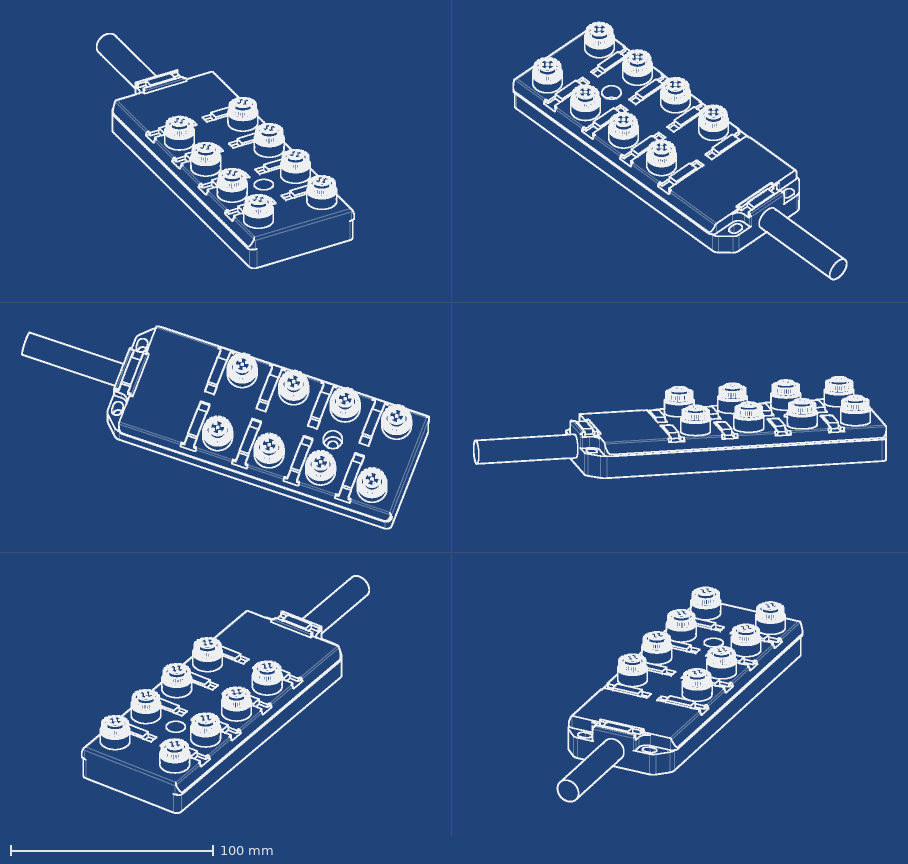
import cadquery as cq
import math

CABLE_LENGTH = 50.3
CABLE_DIAMETER = 11.7
CABLE_AXIS_Z = 9.3

BODY_END_X = 202.0
BODY_START_X = CABLE_LENGTH
BASE_WIDTH = 58.2
BASE_HEIGHT = 11.3
EAR_CHAMFER = 7.5
EAR_CORNER_RADIUS = 4.0
END_CORNER_RADIUS = 2.8
EAR_SLOT_DIAMETER = 5.0
EAR_SLOT_LENGTH = 7.3
EAR_SLOT_X = 54.5

LID_START_X = 58.8
LID_WIDTH = 60.0
LID_TOP_WIDTH = 55.0
LID_TOP_Z = 18.0
LIP_TOP_Z = 12.3
RIM_RADIUS = 1.0
END_RIM_RADIUS = 1.2

GLAND_WIDTH = 23.8
GLAND_TOP_Z = 19.2
GLAND_END_X = 60.4
GLAND_CORNER_RADIUS = 0.8
GLAND_FILLET_RADIUS = 4.2
GLAND_TOP_RADIUS = 1.0
GLAND_MOUTH_DEPTH = 0.8
GLAND_FLOOR_Z = 17.0

LABEL_LENGTH = 14.0
LABEL_WIDTH = 4.8
LABEL_TOP_Z = 19.2
GLAND_LABEL_X = 55.1
GLAND_LABEL_TOP_Z = 19.8
RECESS_FLOOR_Z = 16.2
RECESS_INNER_Y = 2.8
RECESS_MOUTH_WIDTH = 7.9
RECESS_MOUTH_Y = 26.7
LABEL_INNER_Y = 7.7
LABEL_TO_SOCKET = 12.0

SOCKET_PITCH = 27.0
SOCKET_COUNT = 4
FIRST_SOCKET_X = 107.3
SOCKET_ROW_SPACING = 35.8
SOCKET_ROW_Y = SOCKET_ROW_SPACING / 2
SOCKET_DIAMETER = 14.7
SOCKET_SHOULDER_Z = 24.6
SOCKET_SHOULDER_CHAMFER = 0.5
SLEEVE_DIAMETER = 12.1
SLEEVE_TOP_Z = 28.7
SLEEVE_BORE = 11.0
SLEEVE_BORE_CHAMFER = 0.3
KNURL_DIAMETER = 13.3
KNURL_BOTTOM_Z = 25.9
KNURL_TOOTH_COUNT = 18
INSERT_DIAMETER = 8.3
INSERT_TOP_Z = 30.5
INSERT_CHAMFER = 0.6
GAP_FLOOR_Z = 25.5
PIN_HOLE_DIAMETER = 1.1
PIN_HOLE_DEPTH = 4.0
PIN_CIRCLE_DIAMETER = 5.0
OUTER_PIN_COUNT = 4
FIRST_PIN_ANGLE = 45

MOUNT_HOLE_DIAMETER = 5.0
MOUNT_COUNTERBORE_DIAMETER = 9.5
MOUNT_COUNTERBORE_DEPTH = 8.0
MOUNT_SOCKET_INDEX = 2

SOCKET_XS = [FIRST_SOCKET_X + i * SOCKET_PITCH for i in range(SOCKET_COUNT)]
SIDES = (-1, 1)


def block(x_range, y_range, z_range):
    """Axis-aligned box given by its limits along X, Y and Z."""
    x0, x1 = x_range
    y0, y1 = y_range
    z0, z1 = z_range
    return cq.Workplane("XY").box(x1 - x0, y1 - y0, z1 - z0, centered=False).translate((x0, y0, z0))


def cylinder(diameter, z0, z1, x=0.0, y=0.0):
    """Upright round bar from z0 to z1."""
    return cq.Workplane("XY", origin=(x, y, z0)).circle(diameter / 2).extrude(z1 - z0)


def make_base():
    """Base block with rounded, chamfered corners at the cable end."""
    half = BASE_WIDTH / 2
    base = block((BODY_START_X, BODY_END_X), (-half, half), (0, BASE_HEIGHT))
    base = base.edges("|Z and <X").chamfer(EAR_CHAMFER)
    ear_corners = cq.selectors.BoxSelector(
        (BODY_START_X - 2, -half - 2, -2),
        (BODY_START_X + EAR_CHAMFER + 2, half + 2, BASE_HEIGHT + 2),
    )
    base = base.edges("|Z").edges(ear_corners).fillet(EAR_CORNER_RADIUS)
    return base.edges("|Z and >X").fillet(END_CORNER_RADIUS)


def make_lid():
    """Lid with vertical lip, sloping long sides and rounded top rim."""
    half = LID_WIDTH / 2
    top_half = LID_TOP_WIDTH / 2
    blank = block((LID_START_X, BODY_END_X), (-half, half), (BASE_HEIGHT, LID_TOP_Z))
    rounded_corners = blank.edges("|Z").fillet(END_CORNER_RADIUS)
    rounded_end = blank.edges("|Y and >X and >Z").fillet(END_RIM_RADIUS)

    right_side = [(half, BASE_HEIGHT), (half, LIP_TOP_Z), (top_half, LID_TOP_Z)]
    left_side = [(-y, z) for y, z in reversed(right_side)]
    sloped = (
        cq.Workplane("YZ", origin=(LID_START_X, 0, 0))
        .polyline(right_side + left_side)
        .close()
        .extrude(BODY_END_X - LID_START_X)
        .edges("|X and >Z")
        .fillet(RIM_RADIUS)
    )
    return rounded_corners.intersect(rounded_end).intersect(sloped)


def make_gland():
    """Block around the cable entry, overlapping the lid."""
    half = GLAND_WIDTH / 2
    blank = block((BODY_START_X, GLAND_END_X), (-half, half), (BASE_HEIGHT, GLAND_TOP_Z))
    rounded_corners = blank.edges("|Z and <X").fillet(GLAND_CORNER_RADIUS)
    rounded_top = blank.edges("|Y and >Z").fillet(GLAND_TOP_RADIUS)
    gland = rounded_corners.intersect(rounded_top)

    radius = GLAND_FILLET_RADIUS
    for side in SIDES:
        corner = (
            cq.Workplane("XY", origin=(0, 0, BASE_HEIGHT))
            .moveTo(LID_START_X, side * half)
            .lineTo(LID_START_X - radius, side * half)
            .radiusArc((LID_START_X, side * (half + radius)), -side * radius)
            .close()
            .extrude(GLAND_FLOOR_Z - BASE_HEIGHT)
        )
        gland = gland.union(corner)
    return gland


def cut_gland_channel(body):
    """Channel across the gland, widened at both mouths, with its label plate."""
    half = GLAND_WIDTH / 2

    def strip(width, y_range, z_top):
        x_range = (GLAND_LABEL_X - width / 2, GLAND_LABEL_X + width / 2)
        return block(x_range, y_range, (GLAND_FLOOR_Z, z_top))

    body = body.cut(strip(LABEL_WIDTH, (-half, half), GLAND_TOP_Z))
    for side in SIDES:
        mouth_ys = sorted((side * (half - GLAND_MOUTH_DEPTH), side * half))
        body = body.cut(strip(RECESS_MOUTH_WIDTH, mouth_ys, GLAND_TOP_Z))
    return body.union(strip(LABEL_WIDTH, (-LABEL_LENGTH / 2, LABEL_LENGTH / 2), GLAND_LABEL_TOP_Z))


def add_label(body, x, side):
    """Recess that runs out through the sloping side, with its label plate."""
    def strip(width, y_inner, y_outer, z_top):
        y_range = sorted((side * y_inner, side * y_outer))
        return block((x - width / 2, x + width / 2), y_range, (RECESS_FLOOR_Z, z_top))

    lid_edge = LID_WIDTH / 2
    recess = strip(LABEL_WIDTH, RECESS_INNER_Y, lid_edge, LID_TOP_Z)
    mouth = strip(RECESS_MOUTH_WIDTH, RECESS_MOUTH_Y, lid_edge, LID_TOP_Z)
    plate = strip(LABEL_WIDTH, LABEL_INNER_Y, LABEL_INNER_Y + LABEL_LENGTH, LABEL_TOP_Z)
    return body.cut(recess).cut(mouth).union(plate)


def make_knurl():
    """Ring around the sleeve with evenly spaced square teeth."""
    root = SLEEVE_DIAMETER / 2
    tip = KNURL_DIAMETER / 2
    pitch = 2 * math.pi / KNURL_TOOTH_COUNT
    half_tooth = pitch / 4
    points = []
    for i in range(KNURL_TOOTH_COUNT):
        start = i * pitch - half_tooth
        end = i * pitch + half_tooth
        for radius, angle in [(root, start), (tip, start), (tip, end), (root, end)]:
            points.append((radius * math.cos(angle), radius * math.sin(angle)))
    disc = cq.Workplane("XY", origin=(0, 0, KNURL_BOTTOM_Z)).polyline(points).close()
    disc = disc.extrude(SLEEVE_TOP_Z - KNURL_BOTTOM_Z)
    sleeve_middle = (SLEEVE_DIAMETER + SLEEVE_BORE) / 2 + SLEEVE_BORE_CHAMFER
    return disc.cut(cylinder(sleeve_middle, KNURL_BOTTOM_Z, SLEEVE_TOP_Z))


def make_shell():
    """Turned outer shell: body, chamfered shoulder and open sleeve."""
    outer = SOCKET_DIAMETER / 2
    sleeve = SLEEVE_DIAMETER / 2
    bore = SLEEVE_BORE / 2
    half_section = [
        (0, LID_TOP_Z),
        (outer, LID_TOP_Z),
        (outer, SOCKET_SHOULDER_Z - SOCKET_SHOULDER_CHAMFER),
        (outer - SOCKET_SHOULDER_CHAMFER, SOCKET_SHOULDER_Z),
        (sleeve, SOCKET_SHOULDER_Z),
        (sleeve, SLEEVE_TOP_Z),
        (bore + SLEEVE_BORE_CHAMFER, SLEEVE_TOP_Z),
        (bore, SLEEVE_TOP_Z - SLEEVE_BORE_CHAMFER),
        (bore, GAP_FLOOR_Z),
        (0, GAP_FLOOR_Z),
    ]
    return cq.Workplane("XZ").polyline(half_section).close().revolve(360, (0, 0), (0, 1))


def make_socket():
    """Socket on the Z axis: toothed shell with a round insert holding four outer pins and a centre pin."""
    insert = cylinder(INSERT_DIAMETER, GAP_FLOOR_Z, INSERT_TOP_Z)
    insert = insert.faces(">Z").edges().chamfer(INSERT_CHAMFER)
    insert = (
        insert.faces(">Z").workplane()
        .polarArray(PIN_CIRCLE_DIAMETER / 2, FIRST_PIN_ANGLE, 360, OUTER_PIN_COUNT)
        .hole(PIN_HOLE_DIAMETER, PIN_HOLE_DEPTH)
        .faces(">Z").workplane(origin=(0, 0, INSERT_TOP_Z))
        .hole(PIN_HOLE_DIAMETER, PIN_HOLE_DEPTH)
    )
    return make_shell().union(make_knurl()).union(insert)


def cut_ear_slots(body):
    slots = (
        cq.Workplane("XY")
        .pushPoints([(EAR_SLOT_X, side * SOCKET_ROW_Y) for side in SIDES])
        .slot2D(EAR_SLOT_LENGTH, EAR_SLOT_DIAMETER, 90)
        .extrude(BASE_HEIGHT)
    )
    return body.cut(slots)


def cut_mount_hole(body):
    x = SOCKET_XS[MOUNT_SOCKET_INDEX]
    body = body.cut(cylinder(MOUNT_HOLE_DIAMETER, 0, LID_TOP_Z, x))
    counterbore_floor = LID_TOP_Z - MOUNT_COUNTERBORE_DEPTH
    return body.cut(cylinder(MOUNT_COUNTERBORE_DIAMETER, counterbore_floor, LID_TOP_Z, x))


cable = (
    cq.Workplane("YZ", origin=(0, 0, CABLE_AXIS_Z))
    .circle(CABLE_DIAMETER / 2)
    .extrude(CABLE_LENGTH)
)

body = make_base().union(make_lid()).union(make_gland())
body = cut_gland_channel(body)
body = cut_ear_slots(body)
body = cut_mount_hole(body)
for socket_x in SOCKET_XS:
    for side in SIDES:
        body = add_label(body, socket_x - LABEL_TO_SOCKET, side)
body = body.union(cable)

socket = make_socket()
for socket_x in SOCKET_XS:
    for side in SIDES:
        body = body.union(socket.translate((socket_x, side * SOCKET_ROW_Y, 0)))

result = body